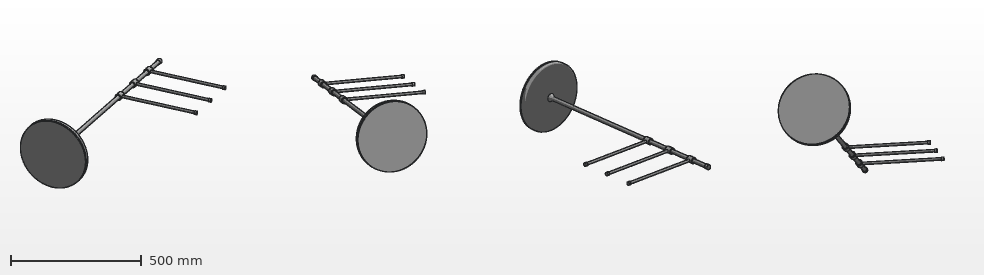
import cadquery as cq

total_length = 910.0
base_radius = 140.0
base_thickness = 25.0
base_edge_radius = 5.5
foot_height = 7.0
foot_radius = 139.0
flare_radius = 16.0
flare_length = 21.0
flare_sag = 2.0
post_radius = 8.0
post_cap_radius = 10.0
post_cap_length = 15.0

arm_count = 3
first_arm_y = 570.0
arm_spacing = 121.0
arm_reach = 329.0
sleeve_radius = 13.0
sleeve_length = 28.0
rod_radius = 5.5
rod_cap_radius = 7.0
rod_cap_length = 9.0


def cylinder_along_y(radius, start, length):
    """Cylinder centred on the post axis, growing toward +Y."""
    plane = cq.Plane(origin=(0, start, 0), xDir=(1, 0, 0), normal=(0, 1, 0))
    return cq.Workplane(plane).circle(radius).extrude(length)


def cylinder_along_x(radius, y, start, length):
    """Cylinder centred at height Z = 0, growing toward +X."""
    plane = cq.Plane(origin=(start, y, 0), xDir=(0, 1, 0), normal=(1, 0, 0))
    return cq.Workplane(plane).circle(radius).extrude(length)


def make_base():
    """Round base with a rounded top edge on a slightly smaller foot disc."""
    rim = cylinder_along_y(base_radius, foot_height, base_thickness - foot_height)
    rim = rim.faces(">Y").edges().fillet(base_edge_radius)
    foot = cylinder_along_y(foot_radius, 0, foot_height)
    return rim.union(foot)


def make_flare():
    """Concave trumpet that blends the base into the post."""
    flare_top = base_thickness + flare_length
    middle = (
        (flare_radius + post_radius) / 2 - flare_sag,
        base_thickness + flare_length / 2,
    )
    return (
        cq.Workplane("XY")
        .moveTo(0, base_thickness)
        .lineTo(flare_radius, base_thickness)
        .threePointArc(middle, (post_radius, flare_top))
        .lineTo(0, flare_top)
        .close()
        .revolve(360, (0, 0, 0), (0, 1, 0))
    )


def make_stand():
    """Base, flare, post and end cap as one solid."""
    base = make_base()
    post = cylinder_along_y(post_radius, base_thickness, total_length - base_thickness)
    cap = cylinder_along_y(post_cap_radius, total_length - post_cap_length, post_cap_length)
    return base.union(make_flare()).union(post).union(cap)


def make_arm(y):
    """Sleeve bored to fit the post, carrying a capped rod."""
    sleeve_start = y - sleeve_length / 2
    sleeve = cylinder_along_y(sleeve_radius, sleeve_start, sleeve_length)
    bore = cylinder_along_y(post_radius, sleeve_start, sleeve_length)
    rod = cylinder_along_x(rod_radius, y, 0, arm_reach)
    cap = cylinder_along_x(rod_cap_radius, y, arm_reach - rod_cap_length, rod_cap_length)
    return sleeve.union(rod).union(cap).cut(bore)


stand = make_stand()
arms = [make_arm(first_arm_y + i * arm_spacing) for i in range(arm_count)]

result = cq.Compound.makeCompound([stand.val(), *[arm.val() for arm in arms]])